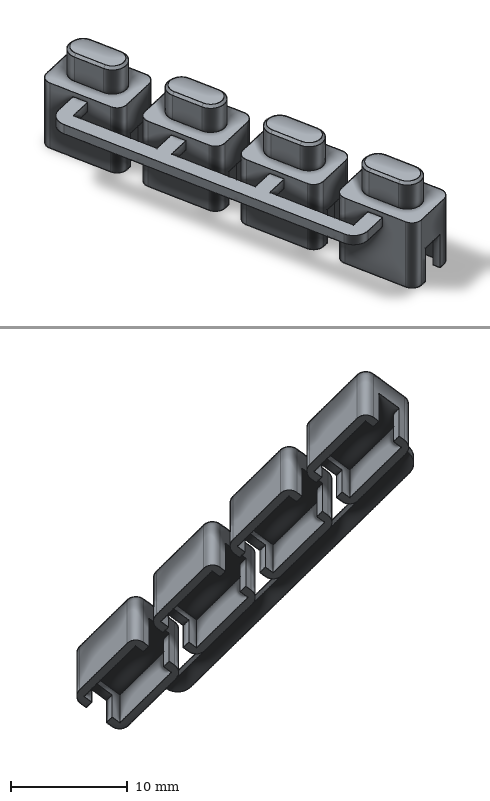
import cadquery as cq

total_length = 38.2
total_depth = 9.25
total_height = 9.8

cap_count = 4
cap_pitch = 10.0
cap_length = total_length - (cap_count - 1) * cap_pitch
cap_depth = 5.5
cap_height = 7.0
cap_corner_radius = 1.0

wall = 0.73
window_width = 2.3
cavity_height = 4.5
left_window_height = cavity_height
right_window_height = 3.55

button_length = 5.75
button_width = 2.8
button_chamfer = 0.25

runner_width = 1.5
runner_bottom = 5.5
runner_thickness = 1.0
runner_front = cap_depth / 2 - total_depth
runner_length = (cap_count - 1) * cap_pitch + runner_width

cap_centers = [(i - (cap_count - 1) / 2) * cap_pitch for i in range(cap_count)]


def block(length, depth, height):
    """Box centred on X and Y, standing on Z = 0."""
    return cq.Workplane("XY").box(length, depth, height, centered=(True, True, False))


def make_button():
    """Oblong button with a bevelled top rim."""
    return (
        cq.Workplane("XY")
        .workplane(offset=cap_height)
        .slot2D(button_length, button_width)
        .extrude(total_height - cap_height)
        .faces(">Z")
        .chamfer(button_chamfer)
    )


def make_end_window(side, height):
    """Cutter for the window in one end wall; side is -1 for -X and +1 for +X."""
    wall_center = side * (cap_length - wall) / 2
    return block(wall, window_width, height).translate((wall_center, 0, 0))


def make_cap():
    """Hollow cap with its two end windows and its button."""
    body = block(cap_length, cap_depth, cap_height).edges("|Z").fillet(cap_corner_radius)
    cavity = block(cap_length - 2 * wall, cap_depth - 2 * wall, cavity_height)
    return (
        body.cut(cavity)
        .cut(make_end_window(-1, left_window_height))
        .cut(make_end_window(1, right_window_height))
        .union(make_button())
    )


def make_runner():
    """Long bar with one spoke back to each cap, its two outer corners rounded."""
    spoke_length = -cap_depth / 2 - runner_front
    spoke_center = runner_front + spoke_length / 2
    runner = block(runner_length, runner_width, runner_thickness).translate(
        (0, runner_front + runner_width / 2, 0)
    )
    for x in cap_centers:
        spoke = block(runner_width, spoke_length, runner_thickness)
        runner = runner.union(spoke.translate((x, spoke_center, 0)))
    runner = runner.clean().faces("<Y").edges("|Z").fillet(runner_width)
    return runner.translate((0, 0, runner_bottom))


result = make_runner()
for x in cap_centers:
    result = result.union(make_cap().translate((x, 0, 0)))